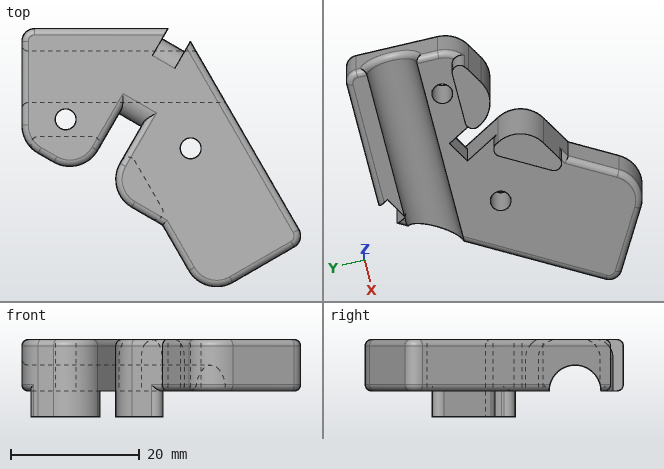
import cadquery as cq
import math

BEND_ANGLE = 60.0

PLATE_THICKNESS = 8.0
FOOT_HEIGHT = 4.0
EDGE_RADIUS = 1.0

LEFT_ARM_LENGTH = 25.0
RIGHT_ARM_LENGTH = 38.0
RIGHT_ARM_WIDTH = 18.0
LOBE_END = 28.0
OUTER_CORNER_RADIUS = 2.0
LOBE_CORNER_RADIUS = 5.0

SLOT_WIDTH = 4.0
BRIDGE_START = 3.0
BRIDGE_END = 16.4
BRIDGE_RADIUS = 3.0

TUBE_DIAMETER = 8.0
TUBE_OFFSET = 7.5

HOLE_DIAMETER = 3.2
LEFT_HOLE = (-18.2, -14.1)
RIGHT_HOLE = (1.2, -18.6)

FOOT_OFFSET = 16.75
FOOT_CORNER_RADIUS = 1.2

HALF_SLOT = SLOT_WIDTH / 2
BRIDGE_MIDDLE = (BRIDGE_START + BRIDGE_END) / 2
LOBE_INNER_OFFSET = FOOT_OFFSET - 2 * LOBE_CORNER_RADIUS
CORNER_TOLERANCE = 0.05
OVERLAP = 10.0

BEND = math.radians(BEND_ANGLE)
ARM_ALONG = (math.cos(BEND), -math.sin(BEND))
ARM_INWARD = (-math.sin(BEND), -math.cos(BEND))
BISECTOR = (-math.sin(BEND / 2), -math.cos(BEND / 2))
ACROSS = (math.cos(BEND / 2), -math.sin(BEND / 2))


def combine(first, second, a, b):
    """Point at a times the first direction plus b times the second."""
    return (a * first[0] + b * second[0], a * first[1] + b * second[1])


def on_bisector(down, across):
    return combine(BISECTOR, ACROSS, down, across)


def on_right_arm(along, inward):
    return combine(ARM_ALONG, ARM_INWARD, along, inward)


def lobe_end_across(offset):
    """Sideways distance at which the lobe end line lies at the offset from an arm's outer edge."""
    return (LOBE_END * math.cos(BEND / 2) - offset) / math.sin(BEND / 2)


def slot_wall_down(offset):
    """Distance down the bisector at which a slot wall lies at the offset from its arm's outer edge."""
    return (offset + HALF_SLOT * math.sin(BEND / 2)) / math.cos(BEND / 2)


def left_lobe_corner():
    """Corner where the lobe end line meets the left end of the arm."""
    across = (LOBE_END * math.sin(BEND / 2) - LEFT_ARM_LENGTH) / math.cos(BEND / 2)
    return on_bisector(LOBE_END, across)


def prism(points, bottom, top):
    return cq.Workplane("XY").workplane(offset=bottom).polyline(points).close().extrude(top - bottom)


def round_corner(solid, point, radius):
    """Round the vertical edge that passes through the point."""
    height = 10 * PLATE_THICKNESS
    box = cq.selectors.BoxSelector(
        (point[0] - CORNER_TOLERANCE, point[1] - CORNER_TOLERANCE, -height),
        (point[0] + CORNER_TOLERANCE, point[1] + CORNER_TOLERANCE, height),
    )
    return solid.edges("|Z").edges(box).fillet(radius)


def bisector_block(start, end, width, height=PLATE_THICKNESS):
    """Block on the underside plane of the plate, centred on the bisector."""
    half = width / 2
    corners = [(start, -half), (start, half), (end, half), (end, -half)]
    return prism([on_bisector(*corner) for corner in corners], 0, height)


def make_plate():
    top_left = (-LEFT_ARM_LENGTH, 0)
    left_slot_corner = on_bisector(LOBE_END, -HALF_SLOT)
    right_slot_corner = on_bisector(LOBE_END, HALF_SLOT)
    right_inner_end = on_right_arm(RIGHT_ARM_LENGTH, RIGHT_ARM_WIDTH)
    right_outer_end = on_right_arm(RIGHT_ARM_LENGTH, 0)
    concave_corner = on_bisector(LOBE_END, lobe_end_across(RIGHT_ARM_WIDTH))
    plate = prism(
        [
            (0, 0),
            top_left,
            left_lobe_corner(),
            left_slot_corner,
            on_bisector(BRIDGE_MIDDLE, -HALF_SLOT),
            on_bisector(BRIDGE_MIDDLE, HALF_SLOT),
            right_slot_corner,
            concave_corner,
            right_inner_end,
            right_outer_end,
        ],
        0,
        PLATE_THICKNESS,
    )
    for corner in (left_lobe_corner(), left_slot_corner, right_slot_corner, right_inner_end):
        plate = round_corner(plate, corner, LOBE_CORNER_RADIUS)
    for corner in (top_left, right_outer_end):
        plate = round_corner(plate, corner, OUTER_CORNER_RADIUS)
    return plate


def round_rims(plate):
    return plate.faces("<Z or >Z").edges().fillet(EDGE_RADIUS)


def make_slot_lips():
    """Square lower lips that keep the bottom edges of the slot walls sharp."""
    lip_end = LOBE_END - LOBE_CORNER_RADIUS
    lips = bisector_block(BRIDGE_END, lip_end, SLOT_WIDTH + 2 * EDGE_RADIUS, EDGE_RADIUS)
    return lips.cut(bisector_block(BRIDGE_END, lip_end, SLOT_WIDTH))


def make_notch():
    """Gap through both outer edges at the bend."""
    return bisector_block(-OVERLAP, BRIDGE_MIDDLE, SLOT_WIDTH)


def make_bridge():
    """Tie bridge with both top edges rounded, as wide as the slot between its rounded rims."""
    bridge = bisector_block(BRIDGE_START, BRIDGE_END, SLOT_WIDTH + 2 * EDGE_RADIUS)
    ends = cq.selectors.ParallelDirSelector(cq.Vector(*ACROSS, 0))
    return bridge.faces(">Z").edges(ends).fillet(BRIDGE_RADIUS)


def make_left_foot():
    """Foot under the left lobe, with its inner face parallel to the left arm."""
    slot_corner = on_bisector(LOBE_END, -HALF_SLOT)
    lobe = prism(
        [
            on_bisector(slot_wall_down(LOBE_INNER_OFFSET), -HALF_SLOT),
            slot_corner,
            left_lobe_corner(),
            (-LEFT_ARM_LENGTH, -LOBE_INNER_OFFSET),
        ],
        -FOOT_HEIGHT,
        EDGE_RADIUS,
    )
    for corner in (slot_corner, left_lobe_corner()):
        lobe = round_corner(lobe, corner, LOBE_CORNER_RADIUS)
    trim = cq.Workplane("XY").box(4 * LEFT_ARM_LENGTH, 2 * FOOT_OFFSET, 4 * PLATE_THICKNESS)
    return lobe.cut(trim).faces(">Y").edges("|Z").fillet(FOOT_CORNER_RADIUS)


def make_right_foot():
    """Foot under the right lobe, with its inner face parallel to the right arm."""
    slot_corner = on_bisector(LOBE_END, HALF_SLOT)
    inner_corner = on_bisector(slot_wall_down(FOOT_OFFSET), HALF_SLOT)
    end_corner = on_bisector(LOBE_END, lobe_end_across(FOOT_OFFSET))
    foot = prism([inner_corner, slot_corner, end_corner], -FOOT_HEIGHT, EDGE_RADIUS)
    foot = round_corner(foot, slot_corner, LOBE_CORNER_RADIUS)
    for corner in (inner_corner, end_corner):
        foot = round_corner(foot, corner, FOOT_CORNER_RADIUS)
    return foot


def make_tube_channel():
    """Half-round tube channel along the left arm, flared at its open end."""
    radius = TUBE_DIAMETER / 2
    flare_end = EDGE_RADIUS - LEFT_ARM_LENGTH
    profile = (
        cq.Workplane("XY")
        .moveTo(-LEFT_ARM_LENGTH, 0)
        .lineTo(-LEFT_ARM_LENGTH, radius + EDGE_RADIUS)
        .radiusArc((flare_end, radius), -EDGE_RADIUS)
        .lineTo(RIGHT_ARM_LENGTH, radius)
        .lineTo(RIGHT_ARM_LENGTH, 0)
        .close()
    )
    return profile.revolve(360, (0, 0, 0), (1, 0, 0)).translate((0, -TUBE_OFFSET, 0))


def drill_holes(part):
    drills = (
        cq.Workplane("XY")
        .workplane(offset=-FOOT_HEIGHT)
        .pushPoints([LEFT_HOLE, RIGHT_HOLE])
        .circle(HOLE_DIAMETER / 2)
        .extrude(FOOT_HEIGHT + PLATE_THICKNESS)
    )
    return part.cut(drills)


result = round_rims(make_plate())
result = result.cut(make_notch())
result = result.union(make_bridge()).union(make_slot_lips())
result = result.cut(make_tube_channel())
result = result.union(make_left_foot()).union(make_right_foot())
result = drill_holes(result)